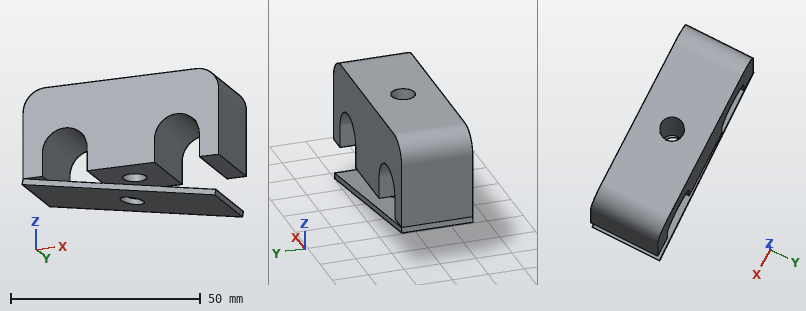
import cadquery as cq

block_length = 55.5
block_height = 24.6
depth = 19.85
corner_radius = 6.35

slot_radius = 6.35
slot_spacing = 31.8
slot_center_height = slot_radius

hole_diameter = 6.5

plate_length = block_length
plate_thickness = 1.55
plate_tilt = 10.0


def pipe_slot(x):
    """Round-topped slot, open at the bottom, running through the full depth."""
    return (
        cq.Workplane("XZ")
        .moveTo(x - slot_radius, 0)
        .lineTo(x - slot_radius, slot_center_height)
        .threePointArc((x, slot_center_height + slot_radius), (x + slot_radius, slot_center_height))
        .lineTo(x + slot_radius, 0)
        .close()
        .extrude(depth / 2, both=True)
    )


def make_block():
    """Block with rounded upper corners, two pipe slots and a vertical screw hole."""
    block = (
        cq.Workplane("XY")
        .box(block_length, depth, block_height, centered=(True, True, False))
        .edges("|Y and >Z")
        .fillet(corner_radius)
    )
    for x in (-slot_spacing / 2, slot_spacing / 2):
        block = block.cut(pipe_slot(x))
    return block.faces(">Z").workplane().hole(hole_diameter)


def make_plate():
    """Flat plate with a central hole, swung down from the block's left edge."""
    left_end = -block_length / 2
    plate = (
        cq.Workplane("XY")
        .box(plate_length, depth, plate_thickness)
        .faces(">Z")
        .workplane()
        .hole(hole_diameter)
        .translate((left_end + plate_length / 2, 0, -plate_thickness / 2))
    )
    return plate.rotate((left_end, 0, 0), (left_end, 1, 0), plate_tilt)


block = make_block()
plate = make_plate()

result = cq.Compound.makeCompound([block.val(), plate.val()])